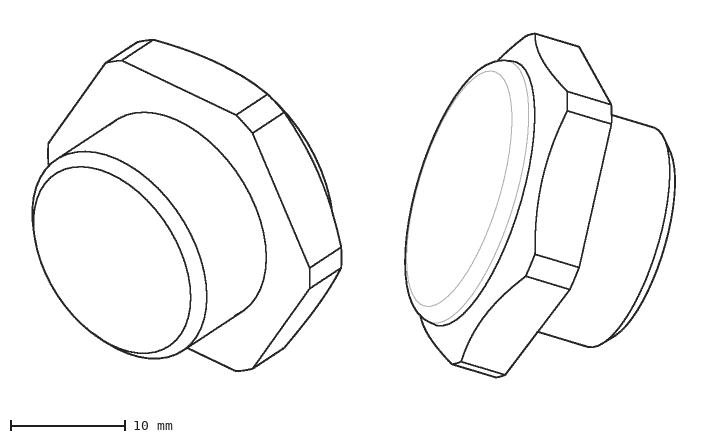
import cadquery as cq
import math

hex_sides = 6
across_flats = 27.0
across_corners = 30.0
hex_height = 6.0
bevel_angle = 30.0

disc_diameter = 24.0
disc_height = 1.59
disc_edge_radius = 1.25
disc_taper = 10.0

shank_diameter = 20.0
shank_length = 9.0
shank_chamfer = 1.0


def make_hex_head():
    """Hexagon with corners on +X and -X, trimmed by a bevelled turning envelope."""
    hex_corner_diameter = across_flats / math.cos(math.pi / hex_sides)
    hexagon = cq.Workplane("XZ").polygon(hex_sides, hex_corner_diameter).extrude(-hex_height)

    outer_radius = across_corners / 2
    disc_radius = disc_diameter / 2
    bevel_drop = (outer_radius - disc_radius) * math.tan(math.radians(bevel_angle))
    envelope = (
        cq.Workplane("XY")
        .moveTo(0, 0)
        .lineTo(outer_radius, 0)
        .lineTo(outer_radius, hex_height - bevel_drop)
        .lineTo(disc_radius, hex_height)
        .lineTo(0, hex_height)
        .close()
        .revolve(360, (0, 0, 0), (0, 1, 0))
    )
    return hexagon.intersect(envelope)


def make_disc():
    """Slightly tapered disc with a rounded outer edge."""
    base_plane = cq.Workplane("XZ", origin=(0, hex_height, 0))
    disc = base_plane.circle(disc_diameter / 2).extrude(-disc_height, taper=disc_taper)
    return disc.faces(">Y").edges().fillet(disc_edge_radius)


def make_shank():
    """Plain round shank with a chamfered free end."""
    shank = cq.Workplane("XZ").circle(shank_diameter / 2).extrude(shank_length)
    return shank.faces("<Y").edges().chamfer(shank_chamfer)


result = make_hex_head().union(make_disc()).union(make_shank())